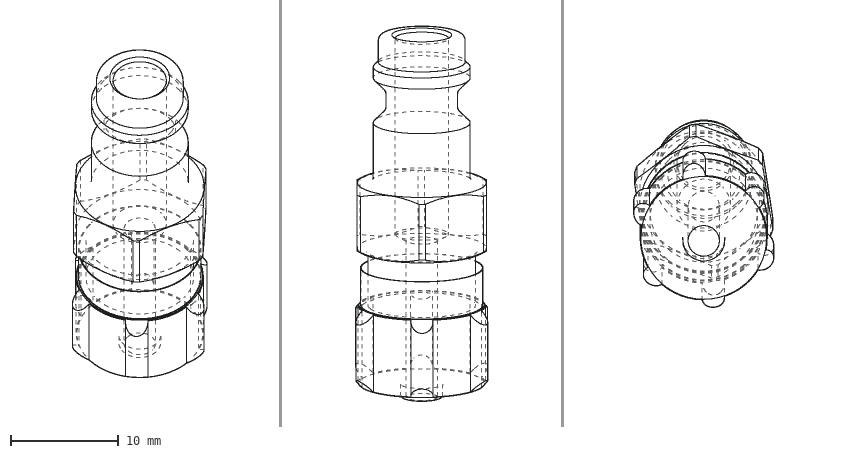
import cadquery as cq
import math

total_height = 34.5
nut_bottom = 1.3
nut_top = 8.75
sleeve_top = 12.3
hex_bottom = 14.18
hex_top = 20.42
shoulder_top = 26.15
collar_cone_top = 30.4
collar_chamfer_bottom = 31.45

pin_radius = 3.9 / 2
sleeve_radius = 11.4 / 2
sleeve_wall = 0.07
lower_neck_radius = 10.0 / 2
plug_radius = 9.0 / 2
upper_neck_radius = 6.65 / 2
nose_radius = 4.05

pin_tip_round = 0.2
pin_root_round = 0.17
lower_neck_round = 0.62
plug_root_round = 0.5
upper_neck_round = 0.85
nose_round = 0.52
collar_chamfer = plug_radius - nose_radius

hex_across_flats = 12.0
hex_tip_radius = 6.75
hex_face_radius = 5.97
hex_bevel_angle = 30.0

rib_count = 6
nut_radius = 5.9
rib_radius = 1.05
rib_offset = 5.85
nut_face_radius = 5.83

bore_radius = 4.95 / 2
mouth_chamfer = 0.3
through_radius = 2.9 / 2
bore_floor = 15.52
bore_cone_depth = 0.62

AXIS_START = (0, 0, 0)
AXIS_END = (0, 1, 0)


def revolve_profile(profile):
    """Close an XZ half profile on the axis and turn it about Z."""
    return profile.close().revolve(360, AXIS_START, AXIS_END)


def arc_point(center_r, center_z, radius, angle):
    """Point on a round's arc at the given angle in the half-profile plane."""
    a = math.radians(angle)
    return (center_r + radius * math.cos(a), center_z + radius * math.sin(a))


def turned_body():
    neck_arc_width = upper_neck_round * (1 - math.cos(math.radians(45)))
    neck_arc_height = upper_neck_round * math.sin(math.radians(45))
    cone_foot_radius = upper_neck_radius + neck_arc_width
    cone_width = plug_radius - cone_foot_radius
    lower_arc_top = shoulder_top + cone_width + neck_arc_height
    upper_arc_bottom = collar_cone_top - cone_width - neck_arc_height
    neck_round_center = upper_neck_radius + upper_neck_round

    profile = (
        cq.Workplane("XZ")
        .moveTo(0, 0)
        .lineTo(pin_radius - pin_tip_round, 0)
        .threePointArc(
            arc_point(pin_radius - pin_tip_round, pin_tip_round, pin_tip_round, -45),
            (pin_radius, pin_tip_round),
        )
        .lineTo(pin_radius, nut_bottom - pin_root_round)
        .threePointArc(
            arc_point(pin_radius + pin_root_round, nut_bottom - pin_root_round, pin_root_round, 135),
            (pin_radius + pin_root_round, nut_bottom),
        )
        .lineTo(sleeve_radius, nut_bottom)
        .lineTo(sleeve_radius, sleeve_top)
        .lineTo(sleeve_radius - sleeve_wall, sleeve_top)
        .lineTo(sleeve_radius - sleeve_wall, nut_top)
        .lineTo(lower_neck_radius, nut_top)
        .lineTo(lower_neck_radius, hex_bottom - lower_neck_round)
        .threePointArc(
            arc_point(
                lower_neck_radius + lower_neck_round, hex_bottom - lower_neck_round, lower_neck_round, 135
            ),
            (lower_neck_radius + lower_neck_round, hex_bottom),
        )
        .lineTo(lower_neck_radius + lower_neck_round, hex_top)
        .lineTo(plug_radius + plug_root_round, hex_top)
        .threePointArc(
            arc_point(plug_radius + plug_root_round, hex_top + plug_root_round, plug_root_round, 225),
            (plug_radius, hex_top + plug_root_round),
        )
        .lineTo(plug_radius, shoulder_top)
        .lineTo(cone_foot_radius, shoulder_top + cone_width)
        .threePointArc(
            arc_point(neck_round_center, lower_arc_top, upper_neck_round, 202.5),
            (upper_neck_radius, lower_arc_top),
        )
        .lineTo(upper_neck_radius, upper_arc_bottom)
        .threePointArc(
            arc_point(neck_round_center, upper_arc_bottom, upper_neck_round, 157.5),
            (cone_foot_radius, upper_arc_bottom + neck_arc_height),
        )
        .lineTo(plug_radius, collar_cone_top)
        .lineTo(plug_radius, collar_chamfer_bottom)
        .lineTo(nose_radius, collar_chamfer_bottom + collar_chamfer)
        .lineTo(nose_radius, total_height - nose_round)
        .threePointArc(
            arc_point(nose_radius - nose_round, total_height - nose_round, nose_round, 45),
            (nose_radius - nose_round, total_height),
        )
        .lineTo(0, total_height)
    )
    return revolve_profile(profile)


def beveled_cylinder(bottom, top, face_radius, outer_radius, bevel_angle):
    """Cylinder with conical bevels at both ends, sloping at bevel_angle to the end faces."""
    bevel_height = (outer_radius - face_radius) * math.tan(math.radians(bevel_angle))
    profile = (
        cq.Workplane("XZ")
        .moveTo(0, bottom)
        .lineTo(face_radius, bottom)
        .lineTo(outer_radius, bottom + bevel_height)
        .lineTo(outer_radius, top - bevel_height)
        .lineTo(face_radius, top)
        .lineTo(0, top)
    )
    return revolve_profile(profile)


def hexagon():
    across_corners = hex_across_flats / math.cos(math.radians(30))
    prism = (
        cq.Workplane("XY", origin=(0, 0, hex_bottom))
        .polygon(6, across_corners)
        .extrude(hex_top - hex_bottom)
        .rotate((0, 0, 0), (0, 0, 1), 30)
    )
    return prism.intersect(
        beveled_cylinder(hex_bottom, hex_top, hex_face_radius, hex_tip_radius, hex_bevel_angle)
    )


def ribbed_nut():
    height = nut_top - nut_bottom
    base = cq.Workplane("XY", origin=(0, 0, nut_bottom))
    ribs = base.polarArray(rib_offset, 90, 360, rib_count).circle(rib_radius).extrude(height)
    nut = base.circle(nut_radius).extrude(height).union(ribs)
    tip_radius = rib_offset + rib_radius
    return nut.intersect(beveled_cylinder(nut_bottom, nut_top, nut_face_radius, tip_radius, 45))


def bore():
    profile = (
        cq.Workplane("XZ")
        .moveTo(0, 0)
        .lineTo(through_radius, 0)
        .lineTo(through_radius, bore_floor - bore_cone_depth)
        .lineTo(bore_radius, bore_floor)
        .lineTo(bore_radius, total_height - mouth_chamfer)
        .lineTo(bore_radius + mouth_chamfer, total_height)
        .lineTo(0, total_height)
    )
    return revolve_profile(profile)


result = turned_body().union(hexagon()).union(ribbed_nut()).cut(bore())